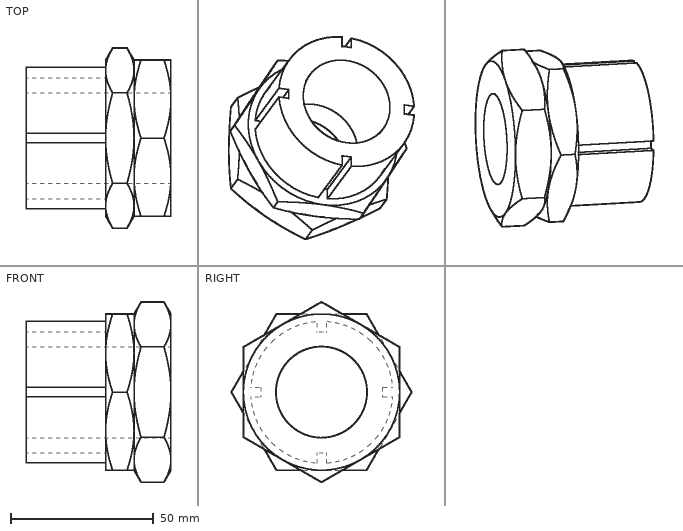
import cadquery as cq
import math

sleeve_length = 28.0
sleeve_diameter = 50.0
bore_diameter = 32.0
slot_count = 4
slot_width = 3.4
slot_depth = 3.7
collar_thickness = 10.0
nut_thickness = 13.0
hexagon_sides = 6
across_flats = 55.0
chamfer_angle = 30.0

half_side_angle = 180 / hexagon_sides
across_corners = across_flats / math.cos(math.radians(half_side_angle))
corner_height = (across_corners - across_flats) / 2
chamfer_length = corner_height * math.tan(math.radians(chamfer_angle))
collar_start = sleeve_length
nut_start = collar_start + collar_thickness


def chamfered_hexagon(start, thickness, turn):
    """Hexagonal prism along X, its corners cut by a cone at both ends.

    With no turn two corners lie on the Y axis; turn is in degrees about X.
    """
    prism = (
        cq.Workplane("YZ", origin=(start, 0, 0))
        .polygon(hexagon_sides, across_corners)
        .extrude(thickness)
        .rotate((0, 0, 0), (1, 0, 0), turn)
    )
    envelope = (
        cq.Workplane("YZ", origin=(start, 0, 0))
        .circle(across_corners / 2)
        .extrude(thickness)
        .faces("<X or >X")
        .edges()
        .chamfer(chamfer_length, corner_height)
    )
    return prism.intersect(envelope)


def bore(start, length):
    """Cylinder that clears the central passage."""
    return cq.Workplane("YZ", origin=(start, 0, 0)).circle(bore_diameter / 2).extrude(length)


def sleeve_slots():
    """Keyways along the full sleeve length, open at its outer surface."""
    outer_radius = sleeve_diameter / 2
    return (
        cq.Workplane("YZ")
        .polarArray(outer_radius, 0, 360, slot_count)
        .rect(2 * slot_depth, slot_width)
        .extrude(sleeve_length)
    )


def make_slotted_sleeve():
    """Slotted sleeve with its integral hexagonal collar."""
    sleeve = cq.Workplane("YZ").circle(sleeve_diameter / 2).extrude(sleeve_length).cut(sleeve_slots())
    collar = chamfered_hexagon(collar_start, collar_thickness, 0)
    return sleeve.union(collar).cut(bore(0, nut_start))


def make_nut():
    """Hexagonal nut against the collar, with corners on the Z axis."""
    hexagon = chamfered_hexagon(nut_start, nut_thickness, half_side_angle)
    return hexagon.cut(bore(nut_start, nut_thickness))


slotted_sleeve = make_slotted_sleeve()
nut = make_nut()

result = cq.Compound.makeCompound([slotted_sleeve.val(), nut.val()])